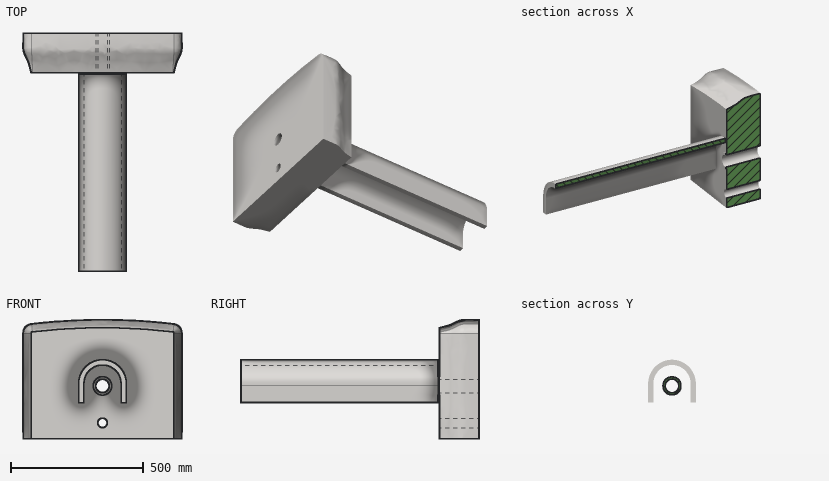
import cadquery as cq

head_width = 600.0
head_side_height = 430.0
head_height = 450.0
head_depth = 150.0
head_corner_radius = 35.0

rim_back = (0.0, 0.0)
rim_bulge = (55.0, 0.58)
rim_slope = (107.0, -19.0)
rim_front = (head_depth, -30.0)
rim_slopes = [0.02, 0.0, -0.4, -0.2]
blank_margin = 2.0
cutter_margin = 25.0

bore_height = 200.0
bore_diameter = 50.0
boss_diameter = 70.0
boss_length = 5.0
lower_hole_height = 60.0
lower_hole_diameter = 35.0

overall_depth = 900.0
channel_start = head_depth + boss_length
channel_length = overall_depth - channel_start
channel_width = 180.0
channel_wall = 20.0
channel_crown_height = 299.0
channel_spring_height = 203.0
channel_bottom_height = 137.0


def head_blank():
    """Full-depth block, a little larger than the rim so that the rim cut shapes every side."""
    half_width = head_width / 2 + blank_margin
    rise = blank_margin
    return (
        cq.Workplane("XZ")
        .moveTo(-half_width, 0)
        .lineTo(-half_width, head_side_height + rise)
        .threePointArc((0, head_height + rise), (half_width, head_side_height + rise))
        .lineTo(half_width, 0)
        .close()
        .extrude(head_depth)
    )


def rim_path():
    """Open path up one side, over the arched top and down the other side, on the back face."""
    half_width = head_width / 2
    outline = (
        cq.Workplane("XZ")
        .moveTo(-half_width, -cutter_margin)
        .lineTo(-half_width, head_side_height)
        .threePointArc((0, head_height), (half_width, head_side_height))
        .lineTo(half_width, -cutter_margin)
        .wire()
        .val()
    )
    corners = [vertex for vertex in outline.Vertices() if vertex.Z > 0]
    return cq.Workplane(outline.fillet2D(head_corner_radius, corners))


def rim_cutter():
    """Everything outside the rim profile, swept along the outline of the head."""
    profile_points = [(-offset, -depth) for depth, offset in (rim_back, rim_bulge, rim_slope, rim_front)]
    profile_tangents = [(-slope, -1) for slope in rim_slopes]
    cutter_profile = (
        cq.Workplane("XY", origin=(-head_width / 2, 0, -cutter_margin))
        .spline(profile_points, tangents=profile_tangents)
        .lineTo(-cutter_margin, -head_depth)
        .lineTo(-cutter_margin, 0)
        .close()
    )
    return cutter_profile.sweep(rim_path())


def cylinder_along_y(height, diameter, length):
    """Cylinder on the centre plane, running from the back face at Y = 0 toward -Y."""
    return cq.Workplane("XZ").center(0, height).circle(diameter / 2).extrude(length)


def make_head():
    boss = cylinder_along_y(bore_height, boss_diameter, channel_start)
    bore = cylinder_along_y(bore_height, bore_diameter, channel_start)
    lower_hole = cylinder_along_y(lower_hole_height, lower_hole_diameter, head_depth)
    return head_blank().cut(rim_cutter()).union(boss).cut(bore).cut(lower_hole)


def make_channel():
    outer_x = channel_width / 2
    inner_x = outer_x - channel_wall
    inner_crown_height = channel_crown_height - channel_wall
    return (
        cq.Workplane("XZ", origin=(0, -channel_start, 0))
        .moveTo(-outer_x, channel_bottom_height)
        .lineTo(-outer_x, channel_spring_height)
        .threePointArc((0, channel_crown_height), (outer_x, channel_spring_height))
        .lineTo(outer_x, channel_bottom_height)
        .lineTo(inner_x, channel_bottom_height)
        .lineTo(inner_x, channel_spring_height)
        .threePointArc((0, inner_crown_height), (-inner_x, channel_spring_height))
        .lineTo(-inner_x, channel_bottom_height)
        .close()
        .extrude(channel_length)
    )


head = make_head()
channel = make_channel()
result = cq.Compound.makeCompound([head.val(), channel.val()])